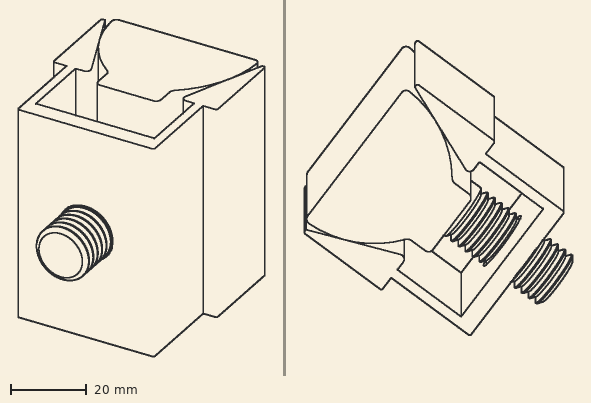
import cadquery as cq
import math


length = 63.5

bar_back = 53.5
bar_front = 21.7
flank_radius = 30.0
flank_center_offset = 7.95
flank_center_y = 53.0
neck_half_width = 9.55
neck_blend_radius = 2.0
bar_corner_radius = 1.5

channel_width = 49.8
flange_back = 51.6
flange_ledge = 25.95
flange_tip_width = 1.1
flange_nose_radius = 1.35
wall_outer_half = 20.75
wall_thickness = 2.75
base_thickness = 5.0
edge_radius = 0.55
hole_radius = 8.2

bolt_tip = -13.2
bolt_radius = 7.95
thread_root_radius = 6.6
thread_length = 30.1
tooth_count = 13
crest_width = 0.35
thread_pitch = thread_length / tooth_count

channel_half_width = channel_width / 2
wall_inner_half = wall_outer_half - wall_thickness


def extrude_profile(profile):
    """Extrude an XY profile over the full length, centred on Z = 0."""
    return profile.extrude(length / 2, both=True)


def fillet_at(body, radius, x, y):
    """Round the Z edges at (x, y) and at its mirror image (-x, y)."""
    margin = 0.1
    for side in (-1, 1):
        corner = cq.selectors.BoxSelector(
            (side * x - margin, y - margin, -length),
            (side * x + margin, y + margin, length),
        )
        body = body.edges("|Z").edges(corner).fillet(radius)
    return body


def flank_point(y):
    """Point of the right-hand flank arc at the given Y."""
    x = math.sqrt(flank_radius**2 - (y - flank_center_y) ** 2) - flank_center_offset
    return x, y


def flank_y_at(x):
    """Y at which the lower part of the right-hand flank arc reaches x."""
    return flank_center_y - math.sqrt(flank_radius**2 - (x + flank_center_offset) ** 2)


def mirrored(point):
    return -point[0], point[1]


def make_clamp_bar():
    neck_top = flank_y_at(neck_half_width)
    back_corner = flank_point(bar_back)
    flank_middle = flank_point((bar_back + neck_top) / 2)
    neck_corner = (neck_half_width, neck_top)
    front_corner = (neck_half_width, bar_front)
    profile = (
        cq.Workplane("XY")
        .moveTo(*mirrored(back_corner))
        .lineTo(*back_corner)
        .threePointArc(flank_middle, neck_corner)
        .lineTo(*front_corner)
        .lineTo(*mirrored(front_corner))
        .lineTo(*mirrored(neck_corner))
        .threePointArc(mirrored(flank_middle), mirrored(back_corner))
        .close()
    )
    bar = extrude_profile(profile)
    bar = fillet_at(bar, bar_corner_radius, *back_corner)
    bar = fillet_at(bar, neck_blend_radius, *neck_corner)
    return fillet_at(bar, bar_corner_radius, *front_corner)


def wedge_slope():
    """Inward run per unit of Y of the flange face that is tangent to the bar's flank."""
    tip_x = channel_half_width - flange_tip_width
    run = tip_x + flank_center_offset
    rise = flank_center_y - flange_back
    angle_to_center = math.atan2(rise, run)
    angle_to_tangent = math.asin(flank_radius / math.hypot(run, rise))
    return 1 / math.tan(angle_to_tangent - angle_to_center)


def make_channel():
    tip_x = channel_half_width - flange_tip_width
    nose_x = tip_x - (flange_back - flange_ledge) * wedge_slope()
    half = [
        (wall_outer_half, 0),
        (wall_outer_half, flange_ledge),
        (channel_half_width, flange_ledge),
        (channel_half_width, flange_back),
        (tip_x, flange_back),
        (nose_x, flange_ledge),
        (wall_inner_half, flange_ledge),
        (wall_inner_half, base_thickness),
    ]
    outline = half + [mirrored(point) for point in reversed(half)]
    channel = extrude_profile(cq.Workplane("XY").polyline(outline).close())
    channel = fillet_at(channel, flange_nose_radius, nose_x, flange_ledge)
    channel = fillet_at(channel, edge_radius, wall_outer_half, 0)
    channel = fillet_at(channel, edge_radius, channel_half_width, flange_ledge)
    channel = fillet_at(channel, edge_radius, channel_half_width, flange_back)
    bolt_hole = cq.Workplane("XZ").circle(hole_radius).extrude(-base_thickness)
    return channel.cut(bolt_hole).solids()


def make_bolt():
    """Revolve the bolt about Y, with the thread as a row of ring-shaped V grooves."""
    flank_length = (thread_pitch - crest_width) / 2
    collar_end = bolt_tip + thread_length + flank_length
    outline = [(0, bar_front), (bolt_radius, bar_front), (bolt_radius, collar_end)]
    for tooth in range(tooth_count):
        groove_y = bolt_tip + thread_length - tooth * thread_pitch
        crest_start = groove_y - flank_length
        outline += [
            (thread_root_radius, groove_y),
            (bolt_radius, crest_start),
            (bolt_radius, crest_start - crest_width),
        ]
    outline += [(thread_root_radius, bolt_tip), (0, bolt_tip)]
    return cq.Workplane("XY").polyline(outline).close().revolve(360, (0, 0, 0), (0, 1, 0))


channel = make_channel()
clamp_bar = make_clamp_bar()
bolt = make_bolt()

result = cq.Compound.makeCompound([channel.val(), clamp_bar.val(), bolt.val()])